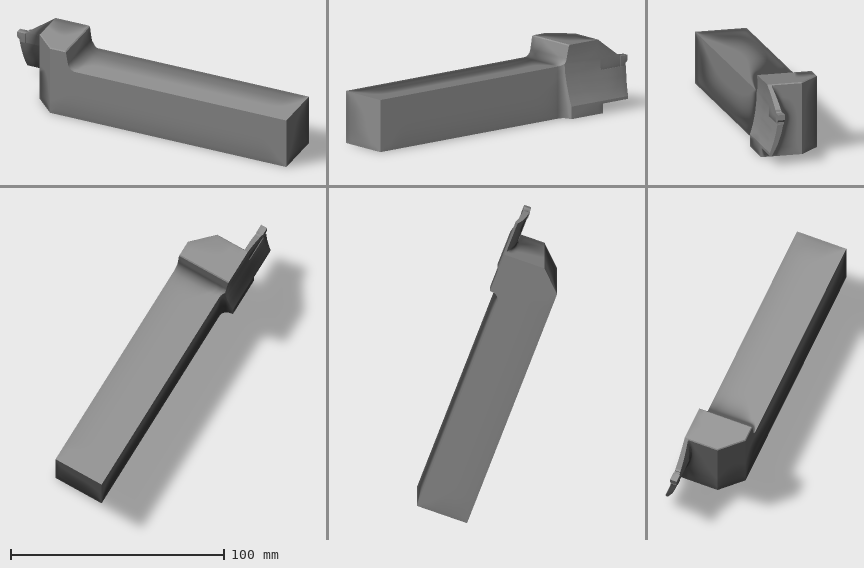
import cadquery as cq
import math

LENGTH = 150.0
HEAD_HEIGHT = 35.0
HEAD_DEPTH = 30.0
SHANK_SIDE = 25.0

HEAD_FRONT_X = 17.8
HEAD_TOP_END_X = 36.0
HEAD_BACK_END_X = 37.2
CORNER_CHAMFER = 10.0
END_SLOPE = math.tan(math.radians(10))
SHANK_FILLET = 3.9
TOP_CHAMFER = 0.5

FRONT_AXIS_Z = 24.3
BACK_AXIS_Z = 27.0
BLADE_FRONT_Y = 23.7
BLADE_BACK_Y = 26.4
FRONT_RADIUS = 39.0
BACK_RADIUS = 63.0
BLADE_BOTTOM_Z = 4.6
BLADE_BOTTOM_X = 2.7
ROOT_SIZE = 0.8

SEAT_BOTTOM_Z = 20.0
SEAT_TOP_Z = 25.4
SEAT_END_X = 16.5
SEAT_FRONT_X = 1.0
JAW_TIP_X = 5.1
JAW_TIP_Z = 25.8
JAW_SLOPE_X = 6.0
JAW_SLOPE_Z = 26.0
TIP_LENGTH = 4.2
TIP_TOP_Z = 24.9
TIP_EDGE_Z = 22.4
TIP_RELIEF_X = 1.4
TIP_RELIEF_Z = 21.2
TIP_FRONT_Y = 23.4
TIP_BACK_Y = 26.7
INSERT_FRONT_Y = 23.7
INSERT_BACK_Y = 26.4


def arc_cylinder(nearest_y, axis_z, radius):
    """Cylinder along X whose lowest Y lies at nearest_y."""
    return (
        cq.Workplane("YZ")
        .center(nearest_y + radius, axis_z)
        .circle(radius)
        .extrude(LENGTH)
    )


def xz_prism(points, y_min, y_max):
    """Extrude an XZ outline between two Y positions."""
    return (
        cq.Workplane("XZ", origin=(0, y_max, 0))
        .polyline(points)
        .close()
        .extrude(y_max - y_min)
    )


def make_head_and_shank():
    top_slope_end_x = HEAD_TOP_END_X + (HEAD_HEIGHT - SHANK_SIDE) * END_SLOPE
    side = xz_prism(
        [
            (HEAD_FRONT_X, 0),
            (LENGTH, 0),
            (LENGTH, SHANK_SIDE),
            (top_slope_end_x, SHANK_SIDE),
            (HEAD_TOP_END_X, HEAD_HEIGHT),
            (HEAD_FRONT_X, HEAD_HEIGHT),
        ],
        0,
        HEAD_DEPTH,
    )
    top_corner = cq.selectors.NearestToPointSelector((top_slope_end_x, HEAD_DEPTH / 2, SHANK_SIDE))
    side = side.edges("|Y").edges(top_corner).fillet(SHANK_FILLET)

    back_slope_end_x = HEAD_BACK_END_X + (HEAD_DEPTH - SHANK_SIDE) * END_SLOPE
    plan = (
        cq.Workplane("XY")
        .moveTo(HEAD_FRONT_X + CORNER_CHAMFER, 0)
        .lineTo(LENGTH, 0)
        .lineTo(LENGTH, SHANK_SIDE)
        .lineTo(back_slope_end_x, SHANK_SIDE)
        .lineTo(HEAD_BACK_END_X, HEAD_DEPTH)
        .lineTo(HEAD_FRONT_X, HEAD_DEPTH)
        .lineTo(HEAD_FRONT_X, CORNER_CHAMFER)
        .close()
        .extrude(HEAD_HEIGHT)
    )
    back_corner = cq.selectors.NearestToPointSelector((back_slope_end_x, SHANK_SIDE, HEAD_HEIGHT / 2))
    plan = plan.edges("|Z").edges(back_corner).fillet(SHANK_FILLET)
    body = side.intersect(plan)

    broken_edges = cq.selectors.BoxSelector((0, -1.5, 0), (LENGTH, BLADE_FRONT_Y, LENGTH))
    return body.faces(">Z").edges(broken_edges).chamfer(TOP_CHAMFER)


def make_blade():
    outline = [
        (BLADE_BOTTOM_X, BLADE_BOTTOM_Z),
        (HEAD_FRONT_X + TOP_CHAMFER, BLADE_BOTTOM_Z),
        (HEAD_FRONT_X + TOP_CHAMFER, HEAD_HEIGHT),
        (JAW_SLOPE_X, JAW_SLOPE_Z),
        (JAW_TIP_X, JAW_TIP_Z),
        (JAW_TIP_X, SEAT_TOP_Z),
        (SEAT_END_X, SEAT_TOP_Z),
        (SEAT_END_X, SEAT_BOTTOM_Z),
        (SEAT_FRONT_X, SEAT_BOTTOM_Z),
    ]
    plate = xz_prism(outline, 0, HEAD_DEPTH)
    return plate.intersect(arc_cylinder(BLADE_FRONT_Y, FRONT_AXIS_Z, FRONT_RADIUS))


def make_blade_root():
    """Concave flare, swept around the front arc of the blade."""
    axis_y = BLADE_FRONT_Y + FRONT_RADIUS
    start_x = HEAD_FRONT_X - ROOT_SIZE
    bend = ROOT_SIZE * math.sqrt(0.5)
    flare = (
        cq.Workplane("XY", origin=(0, 0, FRONT_AXIS_Z))
        .moveTo(start_x, BLADE_FRONT_Y)
        .threePointArc(
            (start_x + bend, BLADE_FRONT_Y - ROOT_SIZE + bend),
            (HEAD_FRONT_X, BLADE_FRONT_Y - ROOT_SIZE),
        )
        .lineTo(HEAD_FRONT_X, axis_y)
        .lineTo(start_x, axis_y)
        .close()
        .revolve(360, (0, axis_y, 0), (1, axis_y, 0))
    )
    slope_end_x = HEAD_FRONT_X + TOP_CHAMFER
    blade_slope = (HEAD_HEIGHT - JAW_SLOPE_Z) / (slope_end_x - JAW_SLOPE_X)
    limits = xz_prism(
        [
            (start_x, BLADE_BOTTOM_Z),
            (HEAD_FRONT_X, BLADE_BOTTOM_Z),
            (HEAD_FRONT_X, HEAD_HEIGHT - TOP_CHAMFER * blade_slope),
            (start_x, HEAD_HEIGHT - (slope_end_x - start_x) * blade_slope),
        ],
        0,
        HEAD_DEPTH,
    )
    return flare.intersect(limits)


def make_holder():
    holder = make_head_and_shank().union(make_blade()).union(make_blade_root())
    return holder.cut(arc_cylinder(BLADE_BACK_Y, BACK_AXIS_Z, BACK_RADIUS))


def make_insert():
    body = xz_prism(
        [
            (TIP_LENGTH, SEAT_BOTTOM_Z),
            (SEAT_END_X, SEAT_BOTTOM_Z),
            (SEAT_END_X, SEAT_TOP_Z),
            (JAW_TIP_X, SEAT_TOP_Z),
            (TIP_LENGTH, TIP_TOP_Z),
        ],
        INSERT_FRONT_Y,
        INSERT_BACK_Y,
    )
    tip = xz_prism(
        [
            (TIP_RELIEF_X, SEAT_BOTTOM_Z),
            (TIP_LENGTH, SEAT_BOTTOM_Z),
            (TIP_LENGTH, TIP_TOP_Z),
            (0, TIP_TOP_Z),
            (0, TIP_EDGE_Z),
            (TIP_RELIEF_X, TIP_RELIEF_Z),
        ],
        TIP_FRONT_Y,
        TIP_BACK_Y,
    )
    return body.union(tip)


holder = make_holder()
insert = make_insert()
result = cq.Compound.makeCompound([holder.val(), insert.val()])